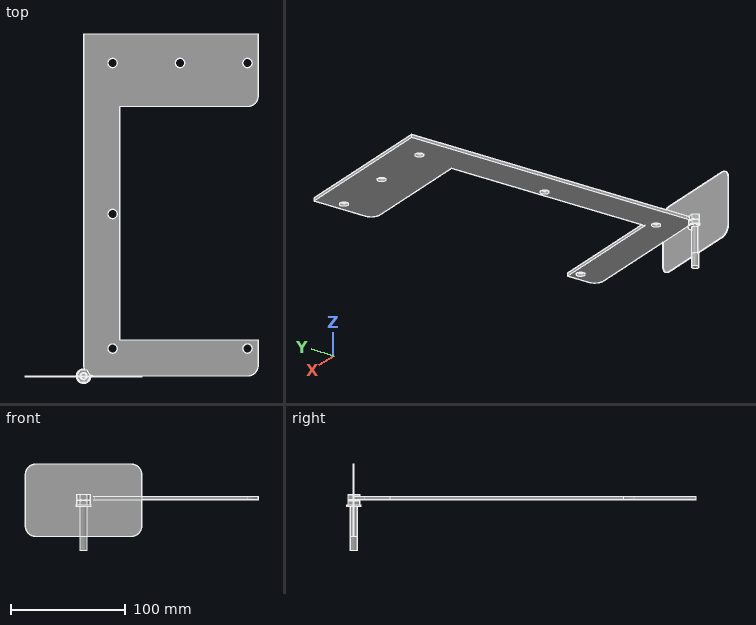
import cadquery as cq

bracket_length = 152.5
bracket_depth = 298.5
bracket_thickness = 3.0
bracket_bottom = 0.3
spine_width = 31.7
front_arm_width = 31.7
rear_arm_width = 63.5
bracket_corner_radius = 9.5
bracket_hole_diameter = 8.0
hole_near_x = 25.3
hole_far_x = 143.0
hole_front_y = 24.0
hole_middle_y = 141.5
hole_rear_y = 273.0

card_width = 101.8
card_height = 63.5
card_thickness = 0.8
card_corner_radius = 9.5

pin_diameter = 6.5
pin_bottom = -44.0
tip_length = 12.5

nut_bore_diameter = 5.0
nut_corner_diameter = 12.2
upper_nut_bottom = 0.3
upper_nut_height = 4.5
lower_nut_top = -0.3
flange_diameter = 12.8
flange_height = 1.2
flange_bottom = -5.5


def disc(diameter, bottom, height):
    """Round disc on the pin axis."""
    return cq.Workplane("XY", origin=(0, 0, bottom)).circle(diameter / 2).extrude(height)


def hexagon(bottom, height):
    """Hexagonal prism on the pin axis with two corners on the X axis."""
    return cq.Workplane("XY", origin=(0, 0, bottom)).polygon(6, nut_corner_diameter).extrude(height)


def make_upper_nut():
    """Hex nut with a bore countersunk to the pin diameter at the top."""
    nut = hexagon(upper_nut_bottom, upper_nut_height)
    nut = nut.cut(disc(nut_bore_diameter, upper_nut_bottom, upper_nut_height))
    countersink = (pin_diameter - nut_bore_diameter) / 2
    return nut.faces(">Z").edges("%CIRCLE").chamfer(countersink)


def make_lower_nut():
    """Hex nut on a round flange, bored through."""
    flange = disc(flange_diameter, flange_bottom, flange_height)
    body_bottom = flange_bottom + flange_height
    nut = hexagon(body_bottom, lower_nut_top - body_bottom)
    return flange.union(nut).cut(disc(nut_bore_diameter, flange_bottom, lower_nut_top - flange_bottom))


def make_bracket():
    """C-shaped plate with three rounded outer corners and six through holes."""
    outline = [
        (0, 0),
        (bracket_length, 0),
        (bracket_length, front_arm_width),
        (spine_width, front_arm_width),
        (spine_width, bracket_depth - rear_arm_width),
        (bracket_length, bracket_depth - rear_arm_width),
        (bracket_length, bracket_depth),
        (0, bracket_depth),
    ]
    holes = [
        (hole_near_x, hole_front_y),
        (hole_far_x, hole_front_y),
        (hole_near_x, hole_middle_y),
        (hole_near_x, hole_rear_y),
        ((hole_near_x + hole_far_x) / 2, hole_rear_y),
        (hole_far_x, hole_rear_y),
    ]
    plate = cq.Workplane("XY", origin=(0, 0, bracket_bottom)).polyline(outline).close()
    plate = plate.extrude(bracket_thickness)
    rounded_corners = [(0, 0), (bracket_length, 0), (bracket_length, bracket_depth - rear_arm_width)]
    for x, y in rounded_corners:
        plate = plate.edges(cq.NearestToPointSelector((x, y, bracket_bottom + bracket_thickness / 2)))
        plate = plate.fillet(bracket_corner_radius)
    drill = cq.Workplane("XY", origin=(0, 0, bracket_bottom)).pushPoints(holes)
    return plate.cut(drill.circle(bracket_hole_diameter / 2).extrude(bracket_thickness))


def make_card():
    """Upright plate with rounded corners."""
    card = cq.Workplane("XY", origin=(0, -card_thickness / 2, 0)).box(card_width, card_thickness, card_height)
    return card.edges("|Y").fillet(card_corner_radius)


upper_nut = make_upper_nut()
lower_nut = make_lower_nut()

shank_bottom = pin_bottom + tip_length
tip = disc(pin_diameter, pin_bottom, tip_length)
shank = disc(pin_diameter, shank_bottom, flange_bottom - shank_bottom)

card = make_card()
for body in (upper_nut, lower_nut, shank, tip):
    card = card.cut(body)
bracket = make_bracket().cut(upper_nut)

bodies = [bracket, card, upper_nut, lower_nut, shank, tip]
result = cq.Compound.makeCompound([body.solids().val() for body in bodies])